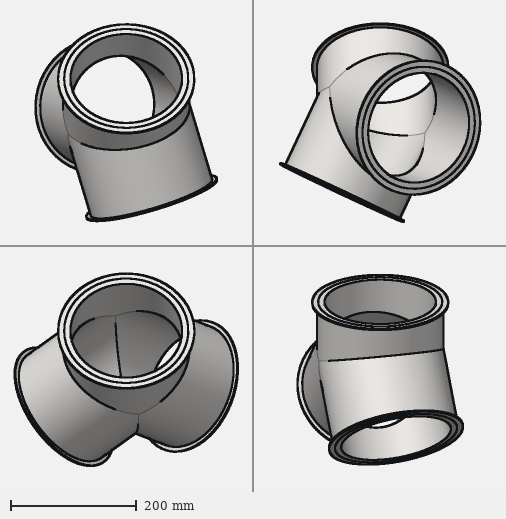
import cadquery as cq
import math

bore_diameter = 178.0
lining_diameter = 198.0
shell_diameter = 202.0
flange_diameter = 217.0
flange_thickness = 2.0
overall_width = 357.0
overall_height = 270.5
branch_angle = 135.0

tilt = math.radians(branch_angle)
flange_radius = flange_diameter / 2
branch_length = (overall_width / 2 + flange_radius * math.cos(tilt)) / math.sin(tilt)
lowest_z = branch_length * math.cos(tilt) - flange_radius * math.sin(tilt)
inlet_length = overall_height + lowest_z

pipes = [(0, inlet_length), (branch_angle, branch_length), (-branch_angle, branch_length)]

upper_mitre = branch_angle / 2
lower_mitre = 180.0
sectors = [
    (-upper_mitre, upper_mitre),
    (upper_mitre, lower_mitre),
    (-lower_mitre, -upper_mitre),
]
sector_reach = 2 * overall_width


def disc(diameter, start, end, angle):
    """Cylinder between two distances along an axis tilted about Y."""
    cylinder = cq.Workplane("XY").workplane(offset=start).circle(diameter / 2).extrude(end - start)
    return cylinder.rotate((0, 0, 0), (0, 1, 0), angle)


def sector_prism(first, last):
    """Prism that fills the space between two mitre planes."""
    tilts = [math.radians(angle) for angle in (first, (first + last) / 2, last)]
    corners = [(sector_reach * math.sin(t), sector_reach * math.cos(t)) for t in tilts]
    return cq.Workplane("XZ").polyline([(0, 0)] + corners).close().extrude(overall_width / 2, both=True)


def mitred_tee(diameter):
    """Solid Y-shaped junction of three round bars joined at mitre planes."""
    tee = cq.Workplane("XY")
    for (angle, length), (first, last) in zip(pipes, sectors):
        bar = disc(diameter, -diameter, length, angle)
        tee = tee.add(bar.intersect(sector_prism(first, last)))
    return tee.combine()


def make_shell():
    """Thin outer shell with a flat flange at each open end."""
    shell = mitred_tee(shell_diameter)
    for angle, length in pipes:
        shell = shell.union(disc(flange_diameter, length - flange_thickness, length, angle))
    return shell.cut(mitred_tee(lining_diameter))


def make_lining():
    """Lining that fills the shell and leaves the bore, flush with the flanges."""
    return mitred_tee(lining_diameter).cut(mitred_tee(bore_diameter))


shell = make_shell()
lining = make_lining()

result = cq.Compound.makeCompound([shell.solids().val(), lining.solids().val()])